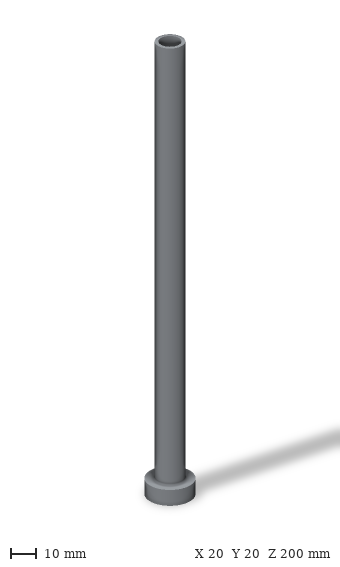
import cadquery as cq

total_length = 200.0
head_diameter = 20.0
head_height = 7.0
shaft_diameter = 12.0
bore_diameter = 9.0
neck_fillet_radius = 0.7

head_radius = head_diameter / 2
shaft_radius = shaft_diameter / 2
bore_radius = bore_diameter / 2


def neck_fillet(profile):
    """Draw the concave arc that blends the top of the head into the shaft."""
    start_radius = shaft_radius + neck_fillet_radius
    end_height = head_height + neck_fillet_radius
    return profile.lineTo(start_radius, head_height).radiusArc(
        (shaft_radius, end_height), neck_fillet_radius
    )


profile = cq.Workplane("XZ").moveTo(bore_radius, 0)
profile = profile.lineTo(head_radius, 0).lineTo(head_radius, head_height)
profile = neck_fillet(profile)
profile = profile.lineTo(shaft_radius, total_length).lineTo(bore_radius, total_length).close()

result = profile.revolve(360, (0, 0, 0), (0, 1, 0))